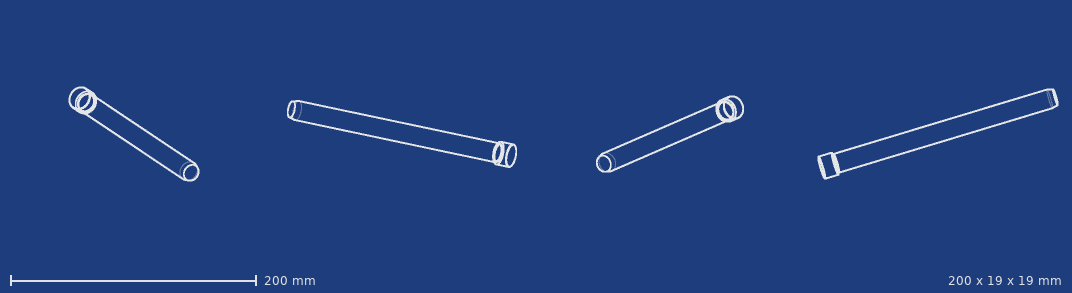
import cadquery as cq

total_length = 200.0
head_diameter = 19.0
head_length = 11.5
head_chamfer = 0.5
shaft_diameter = 16.0

groove_diameter = 14.8
groove_width = 1.2

tip_diameter = 13.5
tip_length = 5.0


def section(start, length, diameter):
    """Solid cylinder on the X axis, starting at the given X position."""
    return cq.Workplane("YZ", origin=(start, 0, 0)).circle(diameter / 2).extrude(length)


def tapered_tip(start, length, base_diameter, end_diameter):
    """Solid cone frustum on the X axis, narrowing toward +X."""
    base = cq.Workplane("YZ", origin=(start, 0, 0)).circle(base_diameter / 2)
    return base.workplane(offset=length).circle(end_diameter / 2).loft(ruled=True)


shaft_start = head_length + groove_width
tip_start = total_length - tip_length

head = section(0, head_length, head_diameter).faces("<X").chamfer(head_chamfer)
groove = section(head_length, groove_width, groove_diameter)
shaft = section(shaft_start, tip_start - shaft_start, shaft_diameter)
tip = tapered_tip(tip_start, tip_length, shaft_diameter, tip_diameter)

result = head.union(groove).union(shaft).union(tip)